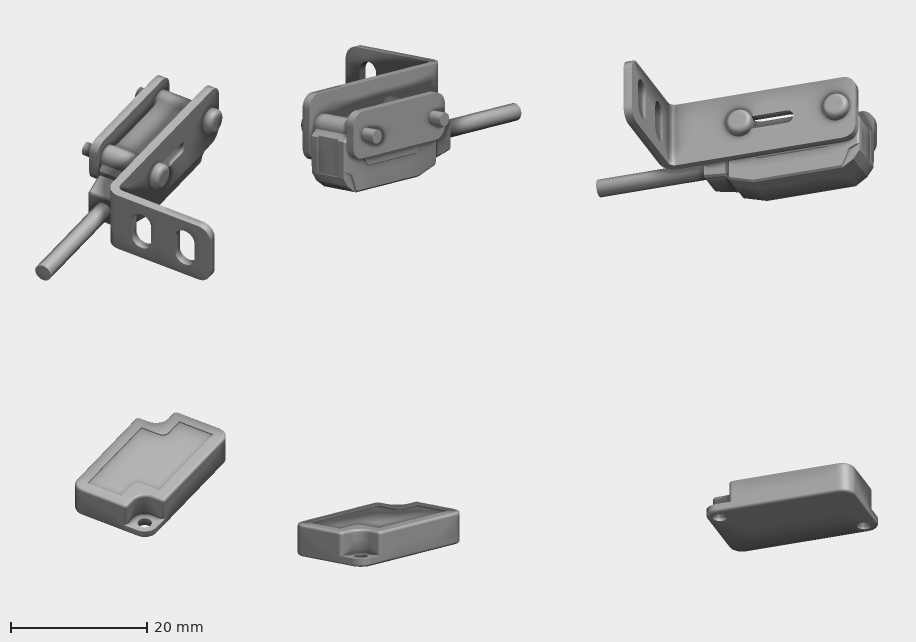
import cadquery as cq
import math


SCREW_Z = 64.6
SCREW_Y = 7.5
SCREW_D = 2.0
SCREW_TIP_X = -7.2
HEAD_D = 4.0
HEAD_HEIGHT = 1.45
HEAD_ROUND = 0.8

EAR_HALF_WIDTH = 3.55
SHEET = 1.3
CORNER_R = 2.0

BRACKET_TOP = 69.6
BRACKET_HEIGHT = 10.0
BRACKET_REAR_Y = 10.4
BRACKET_FRONT_Y = -19.8
BRACKET_END_X = 21.65
BEND_INNER_R = 1.0
FOOT_SLOT_WIDTH = 3.3
FOOT_SLOT_HEIGHT = 6.25
FOOT_SLOT_X = (9.9, 17.3)
ADJUST_SLOT_END_Y = 0.7

PLATE_LENGTH = 20.45
PLATE_HEIGHT = 7.0

BODY_HALF_WIDTH = 3.4
BODY_REAR_Y = 10.4
BODY_FRONT_Y = -10.15
BODY_BOTTOM = 55.6
BODY_EDGE = 0.3
EAR_R = 1.9
SADDLE_RISE = 0.85
SADDLE_R = 2.5
NOSE_RISE = 1.1
NOSE_START_Y = -6.25
NOSE_BEVEL = (0.2, 0.4)
LENS_START_Y = 7.65
LENS_MID = (9.4, 56.8)
LENS_END_Z = 58.2
PAD_BOTTOM_HALF = 5.4
PAD_BOTTOM_Z = 59.3
PAD_EDGE = 0.105
WINDOW_WIDTH = 3.9
WINDOW_DEPTH = 0.2
CHEEK_DEPTH = 0.35
CHEEK_INNER = (8.8, 58.45)
CHEEK_TOP_Z = 59.15

CABLE_Z = 60.55
CABLE_D = 2.65
CABLE_END_Y = -31.3
BOOT_START_Y = -10.6
BOOT_LENGTH = 3.6
BOOT_BASE = (6.1, 5.85)
BOOT_TIP = (5.3, 4.7)
BOOT_EDGE = 0.3
BOOT_TIP_EDGE = 0.2
NECK_SIZE = (5.3, 4.9)

BOX_SIZE = (13.65, 23.05, 4.8)
BOX_CENTER = (0.15, -1.2)
BOX_EDGE_R = 0.4
TAB_HEIGHT = 1.25
TAB_HOLE_D = 2.1
NOTCH_LIP_R = 0.55
PANEL_INSET = 1.9
PANEL_DEPTH = 0.2
PANEL_NOTCH_R = 1.0


def screw_holes(positions):
    """Cylinders along X through the whole clamped stack at the given Y positions."""
    length = 4 * EAR_HALF_WIDTH
    return (
        cq.Workplane("YZ", origin=(-length / 2, 0, 0))
        .pushPoints([(y, SCREW_Z) for y in positions])
        .circle(SCREW_D / 2)
        .extrude(length)
    )


def make_screw(y):
    """Screw along X, with its head against the outer face of the bracket."""
    seat_x = EAR_HALF_WIDTH + SHEET
    shank = (
        cq.Workplane("YZ", origin=(SCREW_TIP_X, y, SCREW_Z))
        .circle(SCREW_D / 2)
        .extrude(seat_x - SCREW_TIP_X)
    )
    head = (
        cq.Workplane("YZ", origin=(seat_x, y, SCREW_Z))
        .circle(HEAD_D / 2)
        .extrude(HEAD_HEIGHT)
        .faces(">X").edges().fillet(HEAD_ROUND)
    )
    return shank.union(head)


def make_plate():
    """Clamp plate on the -X side of the sensor."""
    plate = (
        cq.Workplane("YZ", origin=(-EAR_HALF_WIDTH - SHEET, 0, SCREW_Z))
        .rect(PLATE_LENGTH, PLATE_HEIGHT)
        .extrude(SHEET)
        .edges("|X").fillet(CORNER_R)
    )
    return plate.cut(screw_holes([-SCREW_Y, SCREW_Y]))


def make_bracket():
    """L-shaped sheet bracket on the +X side of the sensor."""
    inner_x = EAR_HALF_WIDTH
    outer_x = inner_x + SHEET
    bottom = BRACKET_TOP - BRACKET_HEIGHT
    middle_z = BRACKET_TOP - BRACKET_HEIGHT / 2
    foot_y = BRACKET_FRONT_Y + SHEET

    bracket = (
        cq.Workplane("XY", origin=(0, 0, bottom))
        .moveTo(inner_x, BRACKET_REAR_Y)
        .lineTo(inner_x, BRACKET_FRONT_Y)
        .lineTo(BRACKET_END_X, BRACKET_FRONT_Y)
        .lineTo(BRACKET_END_X, foot_y)
        .lineTo(outer_x, foot_y)
        .lineTo(outer_x, BRACKET_REAR_Y)
        .close()
        .extrude(BRACKET_HEIGHT)
    )
    outer_bend = cq.selectors.NearestToPointSelector((inner_x, BRACKET_FRONT_Y, middle_z))
    inner_bend = cq.selectors.NearestToPointSelector((outer_x, foot_y, middle_z))
    bracket = bracket.edges("|Z").edges(outer_bend).fillet(BEND_INNER_R + SHEET)
    bracket = bracket.edges("|Z").edges(inner_bend).fillet(BEND_INNER_R)
    bracket = bracket.faces(">Y").edges("|X").fillet(CORNER_R)
    bracket = bracket.faces(">X").edges("|Y").fillet(CORNER_R)

    foot_slots = (
        cq.Workplane("XZ", origin=(0, foot_y, middle_z))
        .pushPoints([(x, 0) for x in FOOT_SLOT_X])
        .slot2D(FOOT_SLOT_HEIGHT, FOOT_SLOT_WIDTH, 90)
        .extrude(SHEET)
    )
    slot_front_y = -SCREW_Y - SCREW_D / 2
    adjust_slot = (
        cq.Workplane("YZ", origin=(inner_x, (slot_front_y + ADJUST_SLOT_END_Y) / 2, SCREW_Z))
        .slot2D(ADJUST_SLOT_END_Y - slot_front_y, SCREW_D)
        .extrude(SHEET)
    )
    return bracket.cut(foot_slots).cut(adjust_slot).cut(screw_holes([SCREW_Y]))


def start_saddle_outline():
    """Upper outline of the sensor from the rear ear over the saddle to the front ear."""
    saddle_z = SCREW_Z + SADDLE_RISE
    blend_z = saddle_z + SADDLE_R
    reach = EAR_R + SADDLE_R
    blend_offset = math.sqrt(reach**2 - (blend_z - SCREW_Z) ** 2)
    blend_y = SCREW_Y - blend_offset
    meet_y = SCREW_Y - blend_offset * EAR_R / reach
    meet_z = SCREW_Z + (blend_z - SCREW_Z) * EAR_R / reach
    half_angle = math.atan2(blend_offset, blend_z - SCREW_Z) / 2
    hollow_y = blend_y + SADDLE_R * math.sin(half_angle)
    hollow_z = blend_z - SADDLE_R * math.cos(half_angle)
    ear_top = SCREW_Z + EAR_R
    ear_end = SCREW_Y + EAR_R
    return (
        cq.Workplane("YZ", origin=(-BODY_HALF_WIDTH, 0, 0))
        .moveTo(ear_end, SCREW_Z)
        .threePointArc((SCREW_Y, ear_top), (meet_y, meet_z))
        .threePointArc((hollow_y, hollow_z), (blend_y, saddle_z))
        .lineTo(-blend_y, saddle_z)
        .threePointArc((-hollow_y, hollow_z), (-meet_y, meet_z))
        .threePointArc((-SCREW_Y, ear_top), (-ear_end, SCREW_Z))
    )


def make_core():
    """Chamfered sensor body between the raised ears and pads."""
    ear_end = SCREW_Y + EAR_R
    bevel_y, bevel_z = NOSE_BEVEL
    nose_z = BODY_BOTTOM + NOSE_RISE
    return (
        start_saddle_outline()
        .lineTo(BODY_FRONT_Y, SCREW_Z - (-BODY_FRONT_Y - ear_end))
        .lineTo(BODY_FRONT_Y, nose_z + bevel_z)
        .lineTo(BODY_FRONT_Y + bevel_y, nose_z)
        .lineTo(NOSE_START_Y, BODY_BOTTOM)
        .lineTo(LENS_START_Y, BODY_BOTTOM)
        .lineTo(*LENS_MID)
        .lineTo(BODY_REAR_Y, LENS_END_Z)
        .lineTo(BODY_REAR_Y, SCREW_Z - (BODY_REAR_Y - ear_end))
        .close()
        .extrude(2 * BODY_HALF_WIDTH)
        .faces("<X or >X").edges().chamfer(BODY_EDGE)
    )


def make_ears_and_pads():
    """Ears around the screws and the side pads below them, proud of the body sides."""
    ear_end = SCREW_Y + EAR_R
    ears = (
        cq.Workplane("YZ", origin=(-EAR_HALF_WIDTH, 0, 0))
        .pushPoints([(-SCREW_Y, SCREW_Z), (SCREW_Y, SCREW_Z)])
        .circle(EAR_R)
        .extrude(2 * EAR_HALF_WIDTH)
    )
    pads = (
        cq.Workplane("YZ", origin=(-EAR_HALF_WIDTH, 0, 0))
        .moveTo(-ear_end, SCREW_Z)
        .lineTo(-PAD_BOTTOM_HALF, PAD_BOTTOM_Z)
        .lineTo(PAD_BOTTOM_HALF, PAD_BOTTOM_Z)
        .lineTo(ear_end, SCREW_Z)
        .close()
        .extrude(2 * EAR_HALF_WIDTH)
        .faces("<X or >X").edges().chamfer(PAD_EDGE)
    )
    return pads.union(ears)


def rear_window():
    """Cutter for the channel down the rear face."""
    return (
        cq.Workplane("XY", origin=(0, BODY_REAR_Y, LENS_END_Z))
        .rect(WINDOW_WIDTH, 2 * WINDOW_DEPTH)
        .extrude(SCREW_Z - LENS_END_Z)
    )


def cheek_recesses():
    """Cutter for the side recesses at the rear lower corner."""
    cutter = (
        cq.Workplane("YZ", origin=(-EAR_HALF_WIDTH, 0, 0))
        .moveTo(LENS_START_Y, BODY_BOTTOM)
        .lineTo(*CHEEK_INNER)
        .lineTo(BODY_REAR_Y, CHEEK_TOP_Z)
        .lineTo(BODY_REAR_Y, BODY_BOTTOM)
        .close()
        .extrude(EAR_HALF_WIDTH - BODY_HALF_WIDTH + CHEEK_DEPTH)
    )
    return cutter.union(cutter.mirror("YZ"))


def make_sensor_body():
    """Sensor body with its window, cheek recesses and screw holes."""
    body = make_core().union(make_ears_and_pads())
    body = body.cut(rear_window()).cut(cheek_recesses())
    return body.cut(screw_holes([-SCREW_Y, SCREW_Y]))


def make_cable_outlet():
    """Neck, tapered boot and cable leaving the front of the sensor."""
    neck = (
        cq.Workplane("XZ", origin=(0, BODY_FRONT_Y, CABLE_Z))
        .rect(*NECK_SIZE)
        .extrude(BODY_FRONT_Y - BOOT_START_Y)
    )
    boot = (
        cq.Workplane("XZ", origin=(0, BOOT_START_Y, CABLE_Z))
        .rect(*BOOT_BASE)
        .workplane(offset=BOOT_LENGTH)
        .rect(*BOOT_TIP)
        .loft(combine=True)
        .edges("not (<Y or >Y)").chamfer(BOOT_EDGE)
        .faces("<Y").edges().chamfer(BOOT_TIP_EDGE)
    )
    cable = (
        cq.Workplane("XZ", origin=(0, BOOT_START_Y, CABLE_Z))
        .circle(CABLE_D / 2)
        .extrude(BOOT_START_Y - CABLE_END_Y)
    )
    return neck.union(boot).union(cable)


def make_sensor():
    """Sensor with its moulded-on boot and cable as one solid."""
    return make_sensor_body().union(make_cable_outlet())


def make_box():
    """Reflector box with a screw tab in two opposite corners and a sunk top panel."""
    size_x, size_y, height = BOX_SIZE
    tab_x = size_x / 2 - CORNER_R
    tab_y = size_y / 2 - CORNER_R
    tab_corners = [(-1, 1), (1, -1)]

    box = (
        cq.Workplane("XY")
        .rect(size_x, size_y)
        .extrude(height)
        .edges("|Z").fillet(CORNER_R)
        .faces("<Z").edges().fillet(BOX_EDGE_R)
    )

    panel = (
        cq.Workplane("XY", origin=(0, 0, height - PANEL_DEPTH))
        .rect(size_x - 2 * PANEL_INSET, size_y - 2 * PANEL_INSET)
        .extrude(PANEL_DEPTH)
    )
    for side_x, side_y in tab_corners:
        wall_x = side_x * (tab_x - CORNER_R)
        wall_y = side_y * (tab_y - CORNER_R)
        notch = corner_block(wall_x, wall_y, side_x, side_y, TAB_HEIGHT, CORNER_R)
        box = box.cut(notch)
        box = round_notch_lips(box, wall_x, wall_y, side_x, side_y)
        box = box.cut(
            cq.Workplane("XY")
            .center(side_x * tab_x, side_y * tab_y)
            .circle(TAB_HOLE_D / 2)
            .extrude(TAB_HEIGHT)
        )
        panel_x = wall_x - side_x * PANEL_INSET
        panel_y = wall_y - side_y * PANEL_INSET
        panel = panel.cut(corner_block(panel_x, panel_y, side_x, side_y, 0, PANEL_NOTCH_R))

    box = box.faces(">Z").edges().fillet(BOX_EDGE_R)
    return box.cut(panel).translate((*BOX_CENTER, 0))


def corner_block(x, y, side_x, side_y, bottom, inner_r):
    """Block that starts at (x, y) and covers the box corner, with its inner edge rounded."""
    size_x, size_y, height = BOX_SIZE
    inner_edge = cq.selectors.NearestToPointSelector((x, y, height))
    return (
        cq.Workplane("XY", origin=(x, y, bottom))
        .rect(side_x * size_x, side_y * size_y, centered=False)
        .extrude(2 * height)
        .edges("|Z").edges(inner_edge).fillet(inner_r)
    )


def round_notch_lips(box, wall_x, wall_y, side_x, side_y):
    """Round the two upright edges where a notch meets the box sides."""
    size_x, size_y, height = BOX_SIZE
    middle_z = (TAB_HEIGHT + height) / 2
    for x, y in [(wall_x, side_y * size_y / 2), (side_x * size_x / 2, wall_y)]:
        lip = cq.selectors.NearestToPointSelector((x, y, middle_z))
        box = box.edges("|Z").edges(lip).fillet(NOTCH_LIP_R)
    return box


sensor = make_sensor()
bracket = make_bracket()
plate = make_plate()
screws = [make_screw(y) for y in (-SCREW_Y, SCREW_Y)]
reflector_box = make_box()

result = cq.Compound.makeCompound(
    [
        sensor.val(),
        bracket.val(),
        plate.val(),
        *[screw.val() for screw in screws],
        reflector_box.val(),
    ]
)